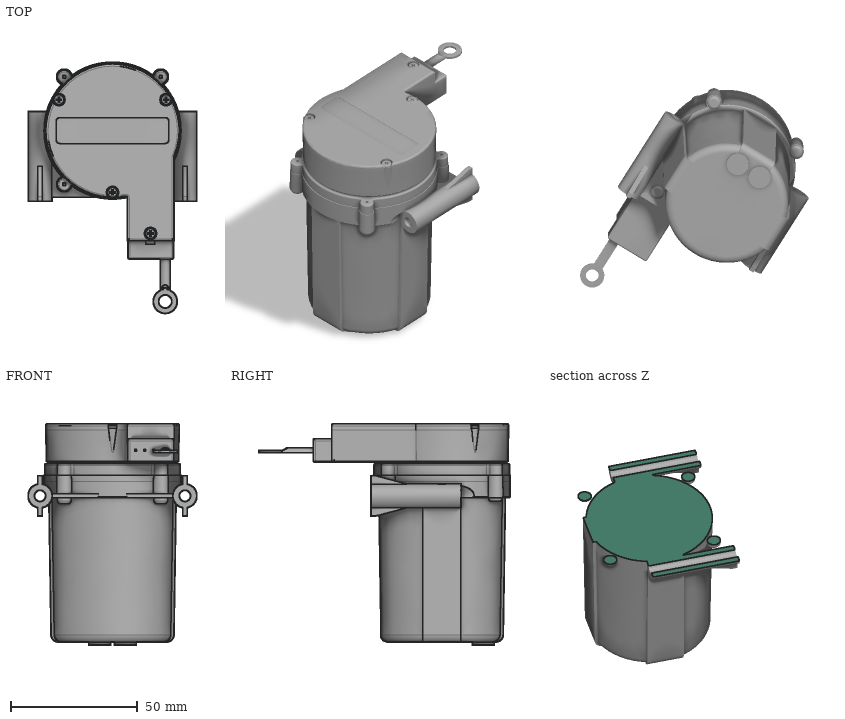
import math

import cadquery as cq

FOOT_HEIGHT = 1.2
FLANGE_BOTTOM_Z = 58.2
TUBE_Z = 58.9
FLANGE_STRAIGHT_Z = 64.7
COLLAR_BOTTOM_Z = 67.1
COLLAR_TOP_Z = 71.6
COVER_BOTTOM_Z = 72.2
LID_SEAM_Z = 85.0
TOP_Z = 87.45
OVERALL_LENGTH = 99.25
OVERLAP = 1.0

CAN_TOP_RADIUS = 50.09 / 2
CAN_BOTTOM_RADIUS = 48.26 / 2
CAN_EDGE_RADIUS = 3.0
PAD_WIDTH = 14.9
PAD_PROUD = 0.12
FOOT_DIAMETER = 8.71
FOOT_X = 5.07
FOOT_Y = 16.4

FLANGE_RADIUS = 27.05
FLANGE_LOWER_RADIUS = 27.0
FLANGE_CHAMFER = 0.35
COLLAR_RADIUS = 26.75
COLLAR_FILLET = 0.6
NECK_RADIUS = 25.4

BOSS_X = 19.05
BOSS_Y = 21.2
BOSS_DIAMETER = 5.38
BOSS_ROOT_FILLET = 0.8
LOWER_BOSS_TOP_DIAMETER = 5.77
LOWER_BOSS_BOTTOM_DIAMETER = 6.1
BOSS_HOLE_DIAMETER = 1.27
BOSS_HOLE_DEPTH = 2.0
NUB_DIAMETER = 5.38
NUB_FILLET = 1.2
FRONT_NUB_LENGTH = 2.4
REAR_NUB_LENGTH = 1.5

TUBE_X = 28.575
TUBE_DIAMETER = 9.53
TUBE_BORE = 4.32
TUBE_BACK_Y = 7.6
TUBE_FRONT_Y = -27.96
FIN_THICKNESS = 1.9
FIN_HALF_HEIGHT = 7.95
FIN_START_Y = -14.0
FIN_FLAT_Y = -26.0
PLATE_FRONT_Y = -26.4
PLATE_THICKNESS = 1.5

COVER_RADIUS = 52.83 / 2
COVER_DRAFT = 1.2
COVER_TOP_FILLET = 0.9
BOTTOM_CHAMFER = 0.45
DUCT_LEFT_X = 5.8
DUCT_RIGHT_X = 24.35
DUCT_END_Y = -43.5
DUCT_CORNER_RADIUS = 0.85
LABEL_LENGTH = 44.5
LABEL_WIDTH = 10.2
LABEL_CORNER = 1.5
LABEL_DEPTH = 0.15

COVER_SCREW_RING_RADIUS = 24.4
COVER_SCREW_ANGLES = (30, 150, 270)
DUCT_SCREW = (15.0, -40.6)
RECESS_DIAMETER = 4.78
RECESS_DEPTH = 1.8
HEAD_DIAMETER = 4.01
HEAD_HEIGHT = 1.4
HEAD_FILLET = 0.5
CROSS_LENGTH = 2.0
CROSS_WIDTH = 0.5
CROSS_DEPTH = 0.7
SPUR_TOP_Z = 86.5
SPUR_BOTTOM_Z = 75.8
SPUR_TOP_RADIUS = 2.6
SPUR_BOTTOM_RADIUS = 1.8

CONNECTOR_LEFT_X = 6.05
CONNECTOR_RIGHT_X = 24.1
CONNECTOR_FRONT_Y = -50.75
CONNECTOR_TOP_Z = 81.5
CONNECTOR_FILLET = 0.75
PIN_HOLE_DIAMETER = 0.79
PIN_HOLE_DEPTH = 2.0
PIN_HOLE_FIRST_X = 9.1
PIN_HOLE_PITCH = 3.57
PIN_HOLE_COUNT = 3
PIN_HOLE_Z = 76.9
NOTCH_LEFT_X = 13.2
NOTCH_RIGHT_X = 16.7
NOTCH_LENGTH = 1.35
NOTCH_DEPTH = 0.5

LUG_X = 20.8
LUG_DIAMETER = 9.53
LUG_HOLE = 5.08
LUG_BOTTOM_Z = 75.9
LUG_THICKNESS = 0.95
LUG_TIP_Y = FLANGE_RADIUS - OVERALL_LENGTH
LUG_Y = LUG_TIP_Y + LUG_DIAMETER / 2
BARREL_DIAMETER = 4.01
BARREL_BORE = 2.85
BARREL_TOP_END_Y = -60.9
BARREL_END_Y = -62.9


def cylinder(x, y, z_bottom, z_top, diameter):
    """Upright cylinder between two heights."""
    return (
        cq.Workplane("XY", origin=(x, y, z_bottom))
        .circle(diameter / 2)
        .extrude(z_top - z_bottom)
    )


def cone(x, y, z_bottom, z_top, bottom_radius, top_radius):
    """Upright truncated cone between two heights."""
    height = z_top - z_bottom
    return cq.Workplane(cq.Solid.makeCone(bottom_radius, top_radius, height, pnt=cq.Vector(x, y, z_bottom)))


def box(x_range, y_range, z_range):
    """Box given by its lower and upper limit on each axis."""
    sizes = [high - low for low, high in (x_range, y_range, z_range)]
    corner = (x_range[0], y_range[0], z_range[0])
    return cq.Workplane("XY").box(*sizes, centered=False).translate(corner)


def can():
    """Drafted can, three square-edged pads along its wall, and two feet."""
    top_z = FLANGE_BOTTOM_Z + OVERLAP
    body = cone(0, 0, FOOT_HEIGHT, top_z, CAN_BOTTOM_RADIUS, CAN_TOP_RADIUS)
    body = body.faces("<Z").edges().fillet(CAN_EDGE_RADIUS)

    pad_blank = (
        cq.Workplane("XZ", origin=(0, PAD_WIDTH / 2, 0))
        .moveTo(0, FOOT_HEIGHT)
        .lineTo(CAN_BOTTOM_RADIUS + PAD_PROUD, FOOT_HEIGHT)
        .lineTo(CAN_TOP_RADIUS + PAD_PROUD, top_z)
        .lineTo(0, top_z)
        .close()
        .extrude(PAD_WIDTH)
    )
    pad = pad_blank.faces(">X").edges("<Z").fillet(CAN_EDGE_RADIUS)
    for angle in (0, 90, 180):
        body = body.union(pad.rotate((0, 0, 0), (0, 0, 1), angle))

    for x in (-FOOT_X, FOOT_X):
        body = body.union(cylinder(x, FOOT_Y, 0, FOOT_HEIGHT + OVERLAP, FOOT_DIAMETER))
    return body


def flange_and_collar():
    """Flange under a collar, both carrying the four screw bosses."""
    flange = cylinder(0, 0, FLANGE_STRAIGHT_Z, COLLAR_BOTTOM_Z, 2 * FLANGE_RADIUS)
    skirt = cone(0, 0, FLANGE_BOTTOM_Z, FLANGE_STRAIGHT_Z, FLANGE_LOWER_RADIUS, FLANGE_RADIUS)
    flange = flange.union(skirt.faces("<Z").chamfer(FLANGE_CHAMFER))
    collar = cylinder(0, 0, COLLAR_BOTTOM_Z, COLLAR_TOP_Z, 2 * COLLAR_RADIUS)

    boss_places = [(x, y) for x in (-BOSS_X, BOSS_X) for y in (-BOSS_Y, BOSS_Y)]
    for x, y in boss_places:
        collar = collar.union(cylinder(x, y, COLLAR_BOTTOM_Z, COLLAR_TOP_Z, BOSS_DIAMETER))
        lower_boss = cone(
            x,
            y,
            FLANGE_BOTTOM_Z,
            COLLAR_BOTTOM_Z,
            LOWER_BOSS_BOTTOM_DIAMETER / 2,
            LOWER_BOSS_TOP_DIAMETER / 2,
        )
        nub_length = FRONT_NUB_LENGTH if y < 0 else REAR_NUB_LENGTH
        nub = cylinder(x, y, FLANGE_BOTTOM_Z - nub_length, FLANGE_BOTTOM_Z, NUB_DIAMETER)
        flange = flange.union(lower_boss).union(nub.faces("<Z").edges().fillet(NUB_FILLET))
    collar = collar.edges("|Z").fillet(BOSS_ROOT_FILLET)
    collar = collar.faces(">Z").edges().fillet(COLLAR_FILLET)

    ring = flange.union(collar)
    for x, y in boss_places:
        ring = ring.cut(cylinder(x, y, COLLAR_TOP_Z - BOSS_HOLE_DEPTH, COLLAR_TOP_Z, BOSS_HOLE_DIAMETER))
    return ring


def along_y(x, z, y_front, y_back, diameter):
    """Cylinder lying along Y."""
    return (
        cq.Workplane("XZ", origin=(x, y_back, z))
        .circle(diameter / 2)
        .extrude(y_back - y_front)
    )


def hinge_tube(side):
    """Tube with a tapered fin above and below and a plate to the flange."""
    x = side * TUBE_X
    tube = along_y(x, TUBE_Z, TUBE_FRONT_Y, TUBE_BACK_Y, TUBE_DIAMETER)
    fin_root = TUBE_DIAMETER / 2
    fin_outline = [
        (FIN_START_Y, fin_root),
        (FIN_FLAT_Y, FIN_HALF_HEIGHT),
        (TUBE_FRONT_Y, FIN_HALF_HEIGHT),
        (TUBE_FRONT_Y, -FIN_HALF_HEIGHT),
        (FIN_FLAT_Y, -FIN_HALF_HEIGHT),
        (FIN_START_Y, -fin_root),
    ]
    fin = (
        cq.Workplane("YZ", origin=(x, 0, TUBE_Z))
        .polyline(fin_outline)
        .close()
        .extrude(FIN_THICKNESS / 2, both=True)
    )
    plate = box(sorted((0, x)), (PLATE_FRONT_Y, 0), (FLANGE_BOTTOM_Z, FLANGE_BOTTOM_Z + PLATE_THICKNESS))
    inside_flange = cylinder(0, 0, FLANGE_BOTTOM_Z, TUBE_Z + OVERLAP, 2 * CAN_TOP_RADIUS)
    return tube.union(fin).union(plate.cut(inside_flange))


def duct_outline(z, end_y):
    """Round cover outline with the straight duct running toward -Y.

    A small arc rounds the inner corner between the duct's left wall and the
    round wall; its center lies outside the outline.
    """
    right_y = -math.sqrt(COVER_RADIUS**2 - DUCT_RIGHT_X**2)
    center_reach = COVER_RADIUS + DUCT_CORNER_RADIUS
    center_x = DUCT_LEFT_X - DUCT_CORNER_RADIUS
    center_y = -math.sqrt(center_reach**2 - center_x**2)
    scale_to_rim = COVER_RADIUS / center_reach
    return (
        cq.Workplane("XY", origin=(0, 0, z))
        .moveTo(DUCT_RIGHT_X, right_y)
        .lineTo(DUCT_RIGHT_X, end_y)
        .lineTo(DUCT_LEFT_X, end_y)
        .lineTo(DUCT_LEFT_X, center_y)
        .radiusArc((center_x * scale_to_rim, center_y * scale_to_rim), -DUCT_CORNER_RADIUS)
        .threePointArc((-COVER_RADIUS, 0), (DUCT_RIGHT_X, right_y))
        .close()
    )


def cover():
    """Drafted case and straight lid with its label recess."""
    long_end_y = DUCT_END_Y - OVERLAP
    case = duct_outline(LID_SEAM_Z, long_end_y).extrude(COVER_BOTTOM_Z - LID_SEAM_Z, taper=COVER_DRAFT)
    case = case.faces("<Z").edges().chamfer(BOTTOM_CHAMFER)
    duct_surplus = box((0, FLANGE_RADIUS), (long_end_y, DUCT_END_Y), (COVER_BOTTOM_Z, LID_SEAM_Z))
    case = case.cut(duct_surplus)
    lid = duct_outline(LID_SEAM_Z, DUCT_END_Y).extrude(TOP_Z - LID_SEAM_Z)
    lid = lid.faces(">Z").edges().fillet(COVER_TOP_FILLET)

    label = cq.Workplane("XY", origin=(0, 0, TOP_Z - LABEL_DEPTH)).rect(LABEL_LENGTH, LABEL_WIDTH)
    label = label.extrude(LABEL_DEPTH).edges("|Z").fillet(LABEL_CORNER)
    neck = cylinder(0, 0, COLLAR_TOP_Z - OVERLAP, COVER_BOTTOM_Z + OVERLAP, 2 * NECK_RADIUS)
    return case.union(lid).cut(label).union(neck)


def screw_head(x, y):
    """Cross-recessed head standing on the floor of its recess."""
    floor_z = TOP_Z - RECESS_DEPTH
    head_top = floor_z + HEAD_HEIGHT
    head = cylinder(x, y, floor_z, head_top, HEAD_DIAMETER).faces(">Z").edges().fillet(HEAD_FILLET)
    slot_plane = cq.Workplane("XY", origin=(x, y, head_top - CROSS_DEPTH))
    for size in ((CROSS_LENGTH, CROSS_WIDTH), (CROSS_WIDTH, CROSS_LENGTH)):
        head = head.cut(slot_plane.rect(*size).extrude(CROSS_DEPTH))
    return head


def add_cover_screws(part):
    """Recessed screws; those on the rim sit over a tapering spur on the wall."""
    rim_places = []
    for angle in COVER_SCREW_ANGLES:
        turn = math.radians(angle)
        x = COVER_SCREW_RING_RADIUS * math.cos(turn)
        y = COVER_SCREW_RING_RADIUS * math.sin(turn)
        rim_places.append((x, y))
    for x, y in rim_places:
        part = part.union(cone(x, y, SPUR_BOTTOM_Z, SPUR_TOP_Z, SPUR_BOTTOM_RADIUS, SPUR_TOP_RADIUS))
    for x, y in rim_places + [DUCT_SCREW]:
        part = part.cut(cylinder(x, y, TOP_Z - RECESS_DEPTH, TOP_Z, RECESS_DIAMETER))
        part = part.union(screw_head(x, y))
    return part


def connector():
    """Block closing the duct end, with pin holes and a notch on top."""
    block = box(
        (CONNECTOR_LEFT_X, CONNECTOR_RIGHT_X),
        (CONNECTOR_FRONT_Y, DUCT_END_Y + OVERLAP),
        (COVER_BOTTOM_Z, CONNECTOR_TOP_Z),
    )
    block = block.edges("<Y and |Z").fillet(CONNECTOR_FILLET)
    block = block.faces(">Z").edges("not >Y").fillet(CONNECTOR_FILLET)
    block = block.faces("<Z").edges("not >Y").chamfer(BOTTOM_CHAMFER)
    for index in range(PIN_HOLE_COUNT):
        x = PIN_HOLE_FIRST_X + index * PIN_HOLE_PITCH
        block = block.cut(
            along_y(x, PIN_HOLE_Z, CONNECTOR_FRONT_Y, CONNECTOR_FRONT_Y + PIN_HOLE_DEPTH, PIN_HOLE_DIAMETER)
        )
    notch = box(
        (NOTCH_LEFT_X, NOTCH_RIGHT_X),
        (DUCT_END_Y - NOTCH_LENGTH, DUCT_END_Y),
        (CONNECTOR_TOP_Z - NOTCH_DEPTH, CONNECTOR_TOP_Z),
    )
    return block.cut(notch)


def ring_terminal():
    """Flat ring on a half-round crimp barrel with a sloped open end."""
    barrel_top = LUG_BOTTOM_Z + BARREL_DIAMETER / 2
    lug_top = LUG_BOTTOM_Z + LUG_THICKNESS
    start_y = CONNECTOR_FRONT_Y + OVERLAP
    half_width = BARREL_DIAMETER / 2
    side_profile = (
        cq.Workplane("YZ", origin=(LUG_X - half_width, 0, 0))
        .moveTo(start_y, LUG_BOTTOM_Z)
        .lineTo(start_y, barrel_top)
        .lineTo(BARREL_TOP_END_Y, barrel_top)
        .lineTo(BARREL_END_Y, lug_top)
        .lineTo(BARREL_END_Y, LUG_BOTTOM_Z)
        .close()
        .extrude(BARREL_DIAMETER)
    )
    round_bar = along_y(LUG_X, LUG_BOTTOM_Z, BARREL_END_Y, start_y, BARREL_DIAMETER)
    barrel = side_profile.intersect(round_bar)
    bore = along_y(LUG_X, LUG_BOTTOM_Z, BARREL_END_Y, CONNECTOR_FRONT_Y, BARREL_BORE)
    below_bore = box(
        (LUG_X - half_width, LUG_X + half_width),
        (BARREL_END_Y, CONNECTOR_FRONT_Y),
        (LUG_BOTTOM_Z - BARREL_BORE, lug_top),
    )
    barrel = barrel.cut(bore.cut(below_bore))

    tongue = box((LUG_X - half_width, LUG_X + half_width), (LUG_Y, BARREL_END_Y), (LUG_BOTTOM_Z, lug_top))
    ring = cylinder(LUG_X, LUG_Y, LUG_BOTTOM_Z, lug_top, LUG_DIAMETER)
    hole = cylinder(LUG_X, LUG_Y, LUG_BOTTOM_Z, lug_top, LUG_HOLE)
    return barrel.union(tongue).union(ring).cut(hole)


def build():
    """Join all pieces, then open the tube bores and their run-out grooves."""
    part = can().union(flange_and_collar())
    for side in (-1, 1):
        x = side * TUBE_X
        groove = along_y(x, TUBE_Z, TUBE_BACK_Y, FLANGE_RADIUS, TUBE_DIAMETER)
        bore = along_y(x, TUBE_Z, TUBE_FRONT_Y, TUBE_BACK_Y, TUBE_BORE)
        part = part.cut(groove).union(hinge_tube(side)).cut(bore)
    part = add_cover_screws(part.union(cover()))
    return part.union(connector()).union(ring_terminal())


result = cq.Workplane(build().solids().val())